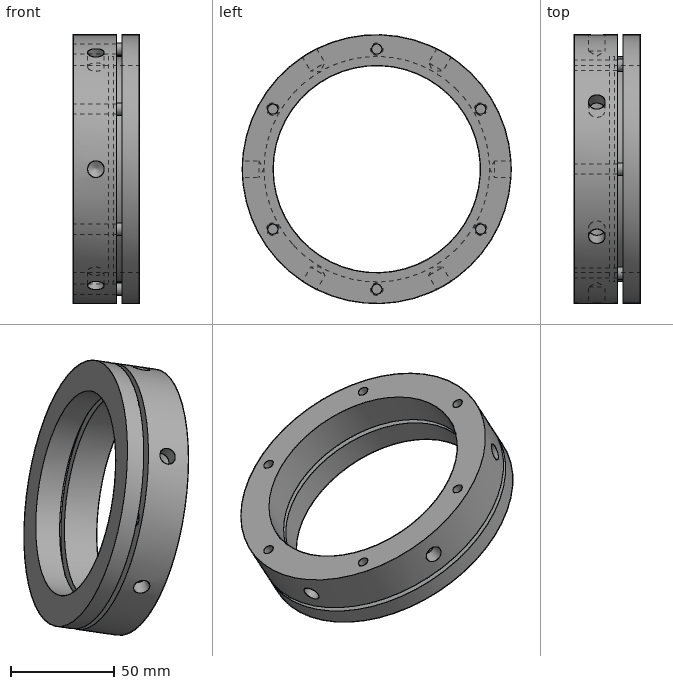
import cadquery as cq
import math

total_width = 32.0
outer_radius = 65.0
bore_radius = 50.0
wide_flange_width = 21.0
groove_width = 2.5
outer_groove_floor_radius = 54.5
inner_groove_floor_radius = outer_groove_floor_radius
inner_groove_x = 17.0

pin_count = 6
pin_circle_radius = 58.0
pin_diameter = 6.0
pin_hole_diameter = 4.917

radial_hole_count = 6
radial_hole_diameter = 8.0
radial_hole_x = 11.0
radial_hole_depth = 8.0
drill_point_angle = 118.0


def tube(start_x, length, outside_radius, inside_radius):
    """Ring around the X axis, starting at start_x."""
    return (
        cq.Workplane("YZ", origin=(start_x, 0, 0))
        .circle(outside_radius)
        .circle(inside_radius)
        .extrude(length)
    )


def pin_points():
    """Pin places as (Y, Z), the first one at the top."""
    step = 2 * math.pi / pin_count
    return [
        (pin_circle_radius * math.sin(i * step), pin_circle_radius * math.cos(i * step))
        for i in range(pin_count)
    ]


def radial_hole_cutter():
    """Drill shape with a conical point, entering the rim from -Y."""
    radius = radial_hole_diameter / 2
    point_length = radius / math.tan(math.radians(drill_point_angle / 2))
    floor_radius = outer_radius - radial_hole_depth
    return (
        cq.Workplane("XY", origin=(radial_hole_x, 0, 0))
        .moveTo(0, -outer_radius - radius)
        .lineTo(radius, -outer_radius - radius)
        .lineTo(radius, -floor_radius)
        .lineTo(0, -floor_radius + point_length)
        .close()
        .revolve(360, (0, 0, 0), (0, 1, 0))
    )


def make_housing():
    """Ring with an outer and an inner groove, pin holes and radial holes."""
    body = tube(0, total_width, outer_radius, bore_radius)
    body = body.cut(tube(wide_flange_width, groove_width, outer_radius, outer_groove_floor_radius))
    body = body.cut(tube(inner_groove_x, groove_width, inner_groove_floor_radius, bore_radius))

    pin_holes = (
        cq.Workplane("YZ")
        .pushPoints(pin_points())
        .circle(pin_hole_diameter / 2)
        .extrude(wide_flange_width)
    )
    body = body.cut(pin_holes)

    drill = radial_hole_cutter()
    for i in range(radial_hole_count):
        body = body.cut(drill.rotate((0, 0, 0), (1, 0, 0), i * 360 / radial_hole_count))
    return body


def make_pin(y, z):
    """Round pin bridging the outer groove."""
    return (
        cq.Workplane("YZ", origin=(wide_flange_width, y, z))
        .circle(pin_diameter / 2)
        .extrude(groove_width)
    )


housing = make_housing()
pins = [make_pin(y, z) for y, z in pin_points()]

result = cq.Compound.makeCompound([housing.val(), *[pin.val() for pin in pins]])